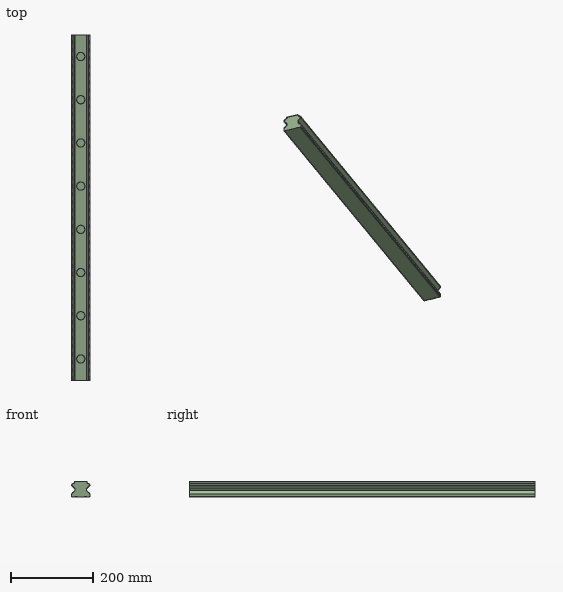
import cadquery as cq

RAIL_WIDTH = 45.0
RAIL_LENGTH = 840.0
RAIL_HEIGHT = 38.0
HALF_WIDTH = RAIL_WIDTH / 2

FOOT_SIDE_TOP = 7.6
FOOT_CHAMFER = 1.6

RELIEF_INNER = 7.9
RELIEF_OUTER = 15.5
RELIEF_DEPTH = 0.7
RELIEF_CENTER = (RELIEF_INNER + RELIEF_OUTER) / 2

WAIST_HALF_WIDTH = 14.5
FLANK_RISE = HALF_WIDTH - WAIST_HALF_WIDTH
WAIST_BOTTOM = FOOT_SIDE_TOP + FLANK_RISE
WAIST_TOP = 20.1

HEAD_SIDE_BOTTOM = WAIST_TOP + FLANK_RISE
SHOULDER_SIZE = 3.2
GROOVE_BOTTOM = 33.0
HEAD_SIDE_TOP = GROOVE_BOTTOM - SHOULDER_SIZE
GROOVE_OUTER_HALF_WIDTH = HALF_WIDTH - SHOULDER_SIZE
GROOVE_INNER_HALF_WIDTH = 15.5
GROOVE_RADIUS = 3.3
TOP_CHAMFER = 1.1
GROOVE_TOP = RAIL_HEIGHT - TOP_CHAMFER
TOP_HALF_WIDTH = GROOVE_INNER_HALF_WIDTH - TOP_CHAMFER

RECESS_DIAMETER = 20.0
RECESS_DEPTH = 0.2
RECESS_COUNT = 8
RECESS_PITCH = RAIL_LENGTH / RECESS_COUNT


def make_rail():
    """Extrude the right half of the section along Y and mirror it to the left."""
    right_half = (
        cq.Workplane("XZ", origin=(0, RAIL_LENGTH / 2, 0))
        .moveTo(0, 0)
        .lineTo(RELIEF_INNER, 0)
        .threePointArc((RELIEF_CENTER, RELIEF_DEPTH), (RELIEF_OUTER, 0))
        .lineTo(HALF_WIDTH - FOOT_CHAMFER, 0)
        .lineTo(HALF_WIDTH, FOOT_CHAMFER)
        .lineTo(HALF_WIDTH, FOOT_SIDE_TOP)
        .lineTo(WAIST_HALF_WIDTH, WAIST_BOTTOM)
        .lineTo(WAIST_HALF_WIDTH, WAIST_TOP)
        .lineTo(HALF_WIDTH, HEAD_SIDE_BOTTOM)
        .lineTo(HALF_WIDTH, HEAD_SIDE_TOP)
        .lineTo(GROOVE_OUTER_HALF_WIDTH, GROOVE_BOTTOM)
        .radiusArc((GROOVE_INNER_HALF_WIDTH, GROOVE_TOP), GROOVE_RADIUS)
        .lineTo(TOP_HALF_WIDTH, RAIL_HEIGHT)
        .lineTo(0, RAIL_HEIGHT)
        .close()
        .extrude(RAIL_LENGTH)
    )
    return right_half.union(right_half.mirror("YZ"))


def cut_recesses(rail):
    """Cut the row of round recesses, centred along the rail."""
    return (
        rail.copyWorkplane(cq.Workplane("XY", origin=(0, 0, RAIL_HEIGHT)))
        .rarray(1, RECESS_PITCH, 1, RECESS_COUNT)
        .circle(RECESS_DIAMETER / 2)
        .cutBlind(-RECESS_DEPTH)
    )


result = cut_recesses(make_rail())